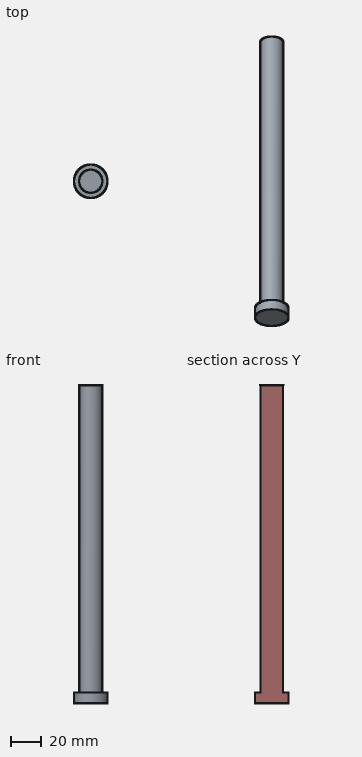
import cadquery as cq

total_length = 207.0
head_diameter = 22.0
head_height = 7.0
shank_diameter = 15.1
shank_length = total_length - head_height

head = cq.Workplane("XY").circle(head_diameter / 2).extrude(head_height)

result = head.faces(">Z").workplane().circle(shank_diameter / 2).extrude(shank_length)